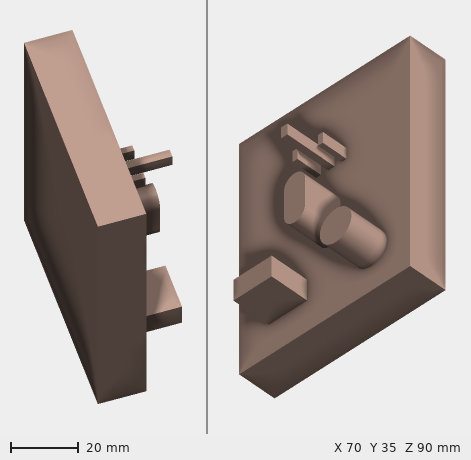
import cadquery as cq

PLATE_WIDTH = 70.0
PLATE_HEIGHT = 90.0
PLATE_THICKNESS = 15.0

INSERT_STANDOUT = PLATE_THICKNESS
INSERT_LENGTH = PLATE_THICKNESS + INSERT_STANDOUT

LOWER_ROW_Z = 16.1

ROUND_DIAMETER = 13.0
ROUND_X = 16.0

BLOCK_WIDTH = 15.7
BLOCK_HEIGHT = 8.1
BLOCK_X = 50.0

SLOT_WIDTH = 8.55
SLOT_HEIGHT = 19.1
SLOT_X = 32.85
SLOT_Z = 37.1

PRONG_HEIGHT = 4.2
PRONG_X = 32.3
PRONG_Z = 59.8
PRONG_SPACING = 5.2
LONG_PRONG_WIDTH = 2.6
LONG_PRONG_LENGTH = 20.0
SHORT_PRONG_WIDTH = 2.0
SHORT_PRONG_LENGTH = LONG_PRONG_LENGTH / 2


def sketch_plane(x, z, y=0):
    """Workplane parallel to the plate front; positive extrusion runs toward -Y."""
    return cq.Workplane("XZ", origin=(x, y, z))


def make_round_insert():
    return sketch_plane(ROUND_X, LOWER_ROW_Z).circle(ROUND_DIAMETER / 2).extrude(-INSERT_LENGTH)


def make_block_insert():
    return sketch_plane(BLOCK_X, LOWER_ROW_Z).rect(BLOCK_WIDTH, BLOCK_HEIGHT).extrude(-INSERT_LENGTH)


def make_slot_insert():
    """Upright insert with fully rounded ends."""
    return sketch_plane(SLOT_X, SLOT_Z).slot2D(SLOT_HEIGHT, SLOT_WIDTH, 90).extrude(-INSERT_LENGTH)


def make_plate(inserts):
    """Plain plate with a matching through opening for every insert."""
    body = cq.Workplane("XY").box(PLATE_WIDTH, PLATE_THICKNESS, PLATE_HEIGHT, centered=False)
    for insert in inserts:
        body = body.cut(insert)
    return body


def make_prong(x, width, length):
    return sketch_plane(x, PRONG_Z, PLATE_THICKNESS).rect(width, PRONG_HEIGHT).extrude(-length)


round_insert = make_round_insert()
block_insert = make_block_insert()
slot_insert = make_slot_insert()
plate = make_plate([round_insert, block_insert, slot_insert])

long_prong = make_prong(PRONG_X, LONG_PRONG_WIDTH, LONG_PRONG_LENGTH)
short_prongs = []
for side in (-1, 1):
    short_prongs.append(make_prong(PRONG_X + side * PRONG_SPACING, SHORT_PRONG_WIDTH, SHORT_PRONG_LENGTH))

result = cq.Compound.makeCompound([
    plate.val(),
    round_insert.val(),
    block_insert.val(),
    slot_insert.val(),
    long_prong.val(),
    *[prong.val() for prong in short_prongs],
])